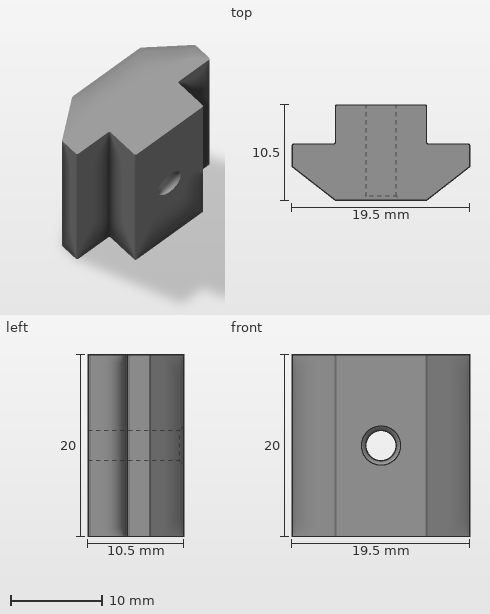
import cadquery as cq

flange_width = 19.5
depth = 10.5
length = 20.0

stem_width = 10.0
stem_depth = 4.3
flange_edge = 2.5
nose_width = 10.0
edge_radius = 0.2

hole_diameter = 3.3
countersink_diameter = 4.3
countersink_angle = 90.0

front_y = -depth / 2
back_y = depth / 2
flange_back_y = back_y - stem_depth
flange_front_y = flange_back_y - flange_edge


def make_body():
    """T-shaped bar with a tapered nose and long edges rounded, except the sharp flange front corners."""
    right_side = [
        (nose_width / 2, front_y),
        (flange_width / 2, flange_front_y),
        (flange_width / 2, flange_back_y),
        (stem_width / 2, flange_back_y),
        (stem_width / 2, back_y),
    ]
    left_side = [(-x, y) for x, y in reversed(right_side)]
    bar = cq.Workplane("XY").polyline(right_side + left_side).close().extrude(length)
    bar = bar.translate((0, 0, -length / 2))
    sharp_edges = cq.selectors.BoxSelector(
        (-flange_width, flange_front_y - edge_radius, -length),
        (flange_width, flange_front_y + edge_radius, length),
    )
    rounded_edges = cq.selectors.InverseSelector(sharp_edges)
    return bar.edges("|Z").edges(rounded_edges).fillet(edge_radius)


def drill_hole(body):
    """Through hole along Y, countersunk at the front face."""
    return (
        body.faces("<Y")
        .workplane(origin=(0, front_y, 0))
        .cskHole(hole_diameter, countersink_diameter, countersink_angle)
    )


result = drill_hole(make_body())